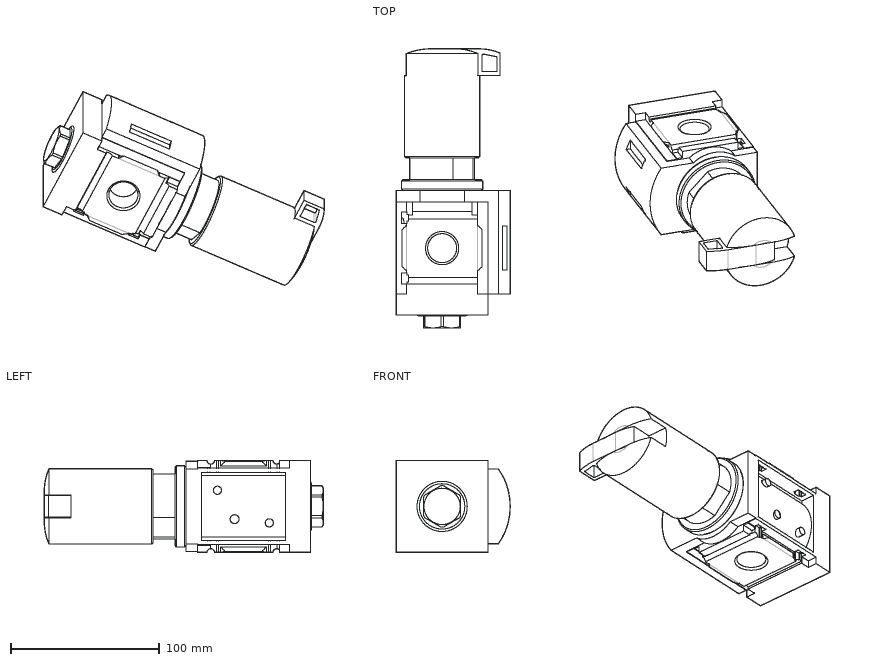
import cadquery as cq
import math


BLOCK_WIDTH = 62.0
HALF = BLOCK_WIDTH / 2
END_CAP_Y = -45.2
WEB_Z = 25.75
PAD_HALF_X = 24.0

PLATE_Y = 38.9
PLATE_Z = 25.3
CROWN_HALF_X = 15.0
CROWN_Z = 30.6
COVER_EDGE_X = 38.0
COVER_X = 46.0
COVER_STEP_X = 40.7
COVER_STEP_Z = 14.3
COVER_STEP_LENGTH = 29.8

PORT_DIAMETER = 19.6
PORT_RIM_DIAMETER = 22.4
PORT_DEPTH = 18.0
GROOVE_Y = 22.1
GROOVE_HALF_WIDTH = 2.5
GROOVE_DEPTH = 2.4
LOWER_GROOVE_Y = -22.4
LOWER_GROOVE_END_Y = -24.2
RELIEF_X = 20.0
RELIEF_Y = 22.4
RELIEF_Z = 26.3
LIP_REACH = 3.0
LIP_HALF_LENGTH = 12.4
LIP_ROOT_Z = 27.4
LIP_EDGE_Z = 30.3

OPENING_Y = 20.5
OPENING_WIDTH = 7.6
OPENING_X = (-27.4, -23.7)
NOTCH_WIDTH = 4.5
NOTCH_X = -22.7

WINDOW_HALF_Y = 28.3
WINDOW_HALF_Z = 23.0
WINDOW_FLOOR_X = -20.5
CORE_RADIUS = 29.2
PIN_DIAMETER = 5.5
PIN_END_X = -30.3
PIN_CENTERS = [(17.6, 10.9), (-17.4, -11.1)]
SHORT_PIN_DIAMETER = 6.0
SHORT_PIN_END_X = -28.8
SHORT_PIN_CENTERS = [(6.0, -8.6)]

SEAT_DIAMETER = 33.9
SEAT_TOP_DIAMETER = 30.6
SEAT_HEIGHT = 0.7
HEX_FLATS = 25.0
HEX_CORNER_DIAMETER = 27.9
HEX_FACE_DIAMETER = 24.5
HEX_CHAMFER_ANGLE = 30.0
HEX_CHAMFER_RADIAL = (HEX_CORNER_DIAMETER - HEX_FACE_DIAMETER) / 2
HEX_CHAMFER_AXIAL = HEX_CHAMFER_RADIAL * math.tan(math.radians(HEX_CHAMFER_ANGLE))
PLUG_Y = -53.95

COLLAR_RADIUS = 55.0 / 2
COLLAR_Y = 46.2
NECK_RADIUS = 22.0
NECK_FLAT_ANGLE = 45.0
NECK_FLAT = 19.9
KNOB_RADIUS = 51.0 / 2
KNOB_BOTTOM_Y = 60.9
KNOB_EDGE_Y = 131.2
KNOB_TOP_Y = 134.55
EDGE_CHAMFER = 1.0
DOME_FLAT_RADIUS = 10.0
DOME_FALL = KNOB_TOP_Y - KNOB_EDGE_Y
DOME_BORDER = KNOB_RADIUS - DOME_FLAT_RADIUS
DOME_MIDDLE = DOME_FLAT_RADIUS + DOME_BORDER / 2
DOME_ARC_RADIUS = (DOME_BORDER**2 + DOME_FALL**2) / (2 * DOME_FALL)

SLOT_WIDTH = 15.1
SLIDE_WIDTH = 14.9
SLOT_FLOOR_Y = 116.4
SLIDE_HALF_LENGTH = 24.4
SLIDE_TRAVEL = 14.7
EYE_NEAR_X = 27.0
EYE_FAR_X = 36.9
EYE_BOTTOM_Y = 119.3
EYE_WALL = 3.5
EYE_CORNER = 1.0


def box(x, y, z):
    """Box between the (low, high) limits on each axis."""
    return cq.Workplane("XY").box(
        x[1] - x[0], y[1] - y[0], z[1] - z[0], centered=False
    ).translate((x[0], y[0], z[0]))


def round_bar(radius, y_low, y_high):
    """Cylinder on the valve axis."""
    return cq.Workplane("XZ", origin=(0, y_high, 0)).circle(radius).extrude(y_high - y_low)


def with_mirror(shape, plane):
    """The shape joined with its mirror image."""
    return shape.union(shape.mirror(plane))


def dome_y(x):
    """Height of the knob dome at distance x from the axis, on its rounded border."""
    return KNOB_TOP_Y - DOME_ARC_RADIUS + math.sqrt(DOME_ARC_RADIUS**2 - (x - DOME_FLAT_RADIUS)**2)



def plate_and_cover():
    """Top plate with its crowned middle, joined to the rounded cover on the +X side."""
    plate = box((-HALF, HALF), (HALF, PLATE_Y), (-PLATE_Z, PLATE_Z))
    crown = (
        cq.Workplane("XZ", origin=(0, PLATE_Y, 0))
        .moveTo(-CROWN_HALF_X, -PLATE_Z)
        .lineTo(-CROWN_HALF_X, PLATE_Z)
        .threePointArc((0, CROWN_Z), (CROWN_HALF_X, PLATE_Z))
        .lineTo(CROWN_HALF_X, -PLATE_Z)
        .threePointArc((0, -CROWN_Z), (-CROWN_HALF_X, -PLATE_Z))
        .close()
        .extrude(PLATE_Y - HALF)
    )
    cover = (
        cq.Workplane("XZ", origin=(0, PLATE_Y, 0))
        .moveTo(HALF, -PLATE_Z)
        .lineTo(COVER_EDGE_X, -PLATE_Z)
        .threePointArc((COVER_X, 0), (COVER_EDGE_X, PLATE_Z))
        .lineTo(HALF, PLATE_Z)
        .close()
        .extrude(PLATE_Y + HALF)
    )
    step = box(
        (COVER_STEP_X, COVER_X),
        (-COVER_STEP_LENGTH / 2, COVER_STEP_LENGTH / 2),
        (COVER_STEP_Z, PLATE_Z),
    )
    return plate.union(crown).union(cover).cut(step).cut(step.mirror("XY"))


def groove(center_y, end_y):
    """Rounded groove across the upper port pad, closed by a wall at end_y."""
    cutter = (
        cq.Workplane("YZ", origin=(-PAD_HALF_X, 0, 0))
        .moveTo(center_y - GROOVE_HALF_WIDTH, HALF)
        .threePointArc((center_y, HALF - GROOVE_DEPTH), (center_y + GROOVE_HALF_WIDTH, HALF))
        .close()
        .extrude(2 * PAD_HALF_X)
    )
    return cutter.intersect(box((-HALF, HALF), (end_y, HALF), (0, HALF)))


def port_cutter():
    """Blind port with a chamfered rim in the upper port pad."""
    rim = (PORT_RIM_DIAMETER - PORT_DIAMETER) / 2
    radius = PORT_DIAMETER / 2
    return (
        cq.Workplane("XZ")
        .polyline([
            (0, HALF - PORT_DEPTH),
            (radius, HALF - PORT_DEPTH),
            (radius, HALF - rim),
            (radius + rim, HALF),
            (0, HALF),
        ])
        .close()
        .revolve(360, (0, 0, 0), (0, 1, 0))
    )


def clamp_opening(center_y):
    """T-shaped opening through the upper web and the edge of the port pad."""
    z = (WINDOW_HALF_Z, HALF)
    wide = box(OPENING_X, (center_y - OPENING_WIDTH / 2, center_y + OPENING_WIDTH / 2), z)
    notch = box(
        (OPENING_X[0], NOTCH_X),
        (center_y - NOTCH_WIDTH / 2, center_y + NOTCH_WIDTH / 2),
        z,
    )
    return wide.union(notch)


def lip():
    """Undercut lip on the -X edge of the upper port pad."""
    edge_x = -PAD_HALF_X - LIP_REACH
    section = (
        cq.Workplane("XZ", origin=(0, HALF, 0))
        .polyline([(-PAD_HALF_X, HALF), (edge_x, LIP_EDGE_Z), (-PAD_HALF_X, LIP_ROOT_Z)])
        .close()
        .extrude(BLOCK_WIDTH)
    )
    root_half_length = LIP_HALF_LENGTH + LIP_REACH
    outline = (
        cq.Workplane("XY")
        .polyline([
            (-PAD_HALF_X, -root_half_length),
            (edge_x, -LIP_HALF_LENGTH),
            (edge_x, LIP_HALF_LENGTH),
            (-PAD_HALF_X, root_half_length),
        ])
        .close()
        .extrude(HALF)
    )
    return section.intersect(outline)


def block():
    """Square block with the same port pad on its +Z and -Z sides."""
    body = box((-HALF, HALF), (END_CAP_Y, HALF), (-HALF, HALF))
    corner = box((PAD_HALF_X, HALF), (-HALF, HALF), (WEB_Z, HALF))
    relief = box((RELIEF_X, PAD_HALF_X), (RELIEF_Y, HALF), (RELIEF_Z, HALF))
    cuts = [
        with_mirror(corner, "YZ"),
        with_mirror(relief, "YZ"),
        groove(GROOVE_Y, 0),
        groove(LOWER_GROOVE_Y, LOWER_GROOVE_END_Y),
        port_cutter(),
    ]
    for cutter in cuts:
        body = body.cut(cutter).cut(cutter.mirror("XY"))
    lips = with_mirror(with_mirror(lip(), "YZ"), "XY")
    return body.union(lips)


def core_pins(centers, diameter, end_x):
    """Pins that stand out of the round core towards -X."""
    return (
        cq.Workplane("YZ", origin=(end_x, 0, 0))
        .pushPoints(centers)
        .circle(diameter / 2)
        .extrude(WINDOW_FLOOR_X - end_x)
    )


def window_pocket():
    """Side window: a pocket around the exposed round core and its pins."""
    pocket = box(
        (-HALF, WINDOW_FLOOR_X),
        (-WINDOW_HALF_Y, WINDOW_HALF_Y),
        (-WINDOW_HALF_Z, WINDOW_HALF_Z),
    )
    pocket = pocket.cut(round_bar(CORE_RADIUS, -WINDOW_HALF_Y, WINDOW_HALF_Y))
    pocket = pocket.cut(core_pins(PIN_CENTERS, PIN_DIAMETER, PIN_END_X))
    return pocket.cut(core_pins(SHORT_PIN_CENTERS, SHORT_PIN_DIAMETER, SHORT_PIN_END_X))


def plug():
    """Hexagon plug with its conical seat on the end cap."""
    seat = (
        cq.Workplane("XZ", origin=(0, END_CAP_Y, 0))
        .circle(SEAT_DIAMETER / 2)
        .workplane(offset=SEAT_HEIGHT)
        .circle(SEAT_TOP_DIAMETER / 2)
        .loft()
    )
    height = END_CAP_Y - PLUG_Y
    hexagon = (
        cq.Workplane("XZ", origin=(0, END_CAP_Y, 0))
        .polygon(6, HEX_FLATS, circumscribed=True)
        .extrude(height)
    )
    envelope = round_bar(HEX_CORNER_DIAMETER / 2, PLUG_Y, END_CAP_Y).faces("<Y").chamfer(
        HEX_CHAMFER_AXIAL, HEX_CHAMFER_RADIAL
    )
    return seat.union(hexagon.intersect(envelope))


def collar_and_neck():
    """Round collar and the neck with two wrench flats."""
    collar = round_bar(COLLAR_RADIUS, PLATE_Y, COLLAR_Y).edges().chamfer(EDGE_CHAMFER)
    neck = round_bar(NECK_RADIUS, COLLAR_Y, KNOB_BOTTOM_Y)
    between_flats = (
        cq.Workplane("XZ", origin=(0, KNOB_BOTTOM_Y, 0))
        .transformed(rotate=(0, 0, NECK_FLAT_ANGLE))
        .rect(2 * NECK_FLAT, 2 * NECK_RADIUS)
        .extrude(KNOB_BOTTOM_Y - COLLAR_Y)
    )
    return collar.union(neck.intersect(between_flats))


def knob():
    """Round knob with a domed end and a slot for the locking slide."""
    turned = (
        cq.Workplane("XY")
        .moveTo(0, KNOB_BOTTOM_Y)
        .lineTo(KNOB_RADIUS - EDGE_CHAMFER, KNOB_BOTTOM_Y)
        .lineTo(KNOB_RADIUS, KNOB_BOTTOM_Y + EDGE_CHAMFER)
        .lineTo(KNOB_RADIUS, KNOB_EDGE_Y)
        .threePointArc((DOME_MIDDLE, dome_y(DOME_MIDDLE)), (DOME_FLAT_RADIUS, KNOB_TOP_Y))
        .lineTo(0, KNOB_TOP_Y)
        .close()
        .revolve(360, (0, 0, 0), (0, 1, 0))
    )
    slot = box(
        (-KNOB_RADIUS, KNOB_RADIUS),
        (SLOT_FLOOR_Y, KNOB_TOP_Y),
        (-SLOT_WIDTH / 2, SLOT_WIDTH / 2),
    )
    return turned.cut(slot)


def make_housing():
    """The whole valve except the locking slide."""
    body = block().union(plate_and_cover()).cut(window_pocket())
    for y in (-OPENING_Y, OPENING_Y):
        opening = clamp_opening(y)
        body = body.cut(opening).cut(opening.mirror("XY"))
    return body.union(plug()).union(collar_and_neck()).union(knob())



def make_slide():
    """Slide with a padlock eye; its top follows the dome when it is pushed in."""
    end_y = dome_y(SLIDE_HALF_LENGTH)
    blank = (
        cq.Workplane("XY", origin=(SLIDE_TRAVEL, 0, -SLIDE_WIDTH / 2))
        .moveTo(-SLIDE_HALF_LENGTH, SLOT_FLOOR_Y)
        .lineTo(SLIDE_HALF_LENGTH, SLOT_FLOOR_Y)
        .lineTo(SLIDE_HALF_LENGTH, end_y)
        .threePointArc((DOME_MIDDLE, dome_y(DOME_MIDDLE)), (DOME_FLAT_RADIUS, KNOB_TOP_Y))
        .lineTo(-DOME_FLAT_RADIUS, KNOB_TOP_Y)
        .threePointArc((-DOME_MIDDLE, dome_y(DOME_MIDDLE)), (-SLIDE_HALF_LENGTH, end_y))
        .close()
        .extrude(SLIDE_WIDTH)
    )
    eye = (
        cq.Workplane("XY", origin=(0, 0, -SLIDE_WIDTH / 2))
        .moveTo(EYE_NEAR_X, EYE_BOTTOM_Y)
        .lineTo(EYE_FAR_X, EYE_BOTTOM_Y)
        .lineTo(EYE_FAR_X, dome_y(EYE_FAR_X - SLIDE_TRAVEL) - EYE_WALL)
        .lineTo(EYE_NEAR_X, dome_y(EYE_NEAR_X - SLIDE_TRAVEL) - EYE_WALL)
        .close()
        .extrude(SLIDE_WIDTH)
        .edges("|Z and <X and >Y")
        .fillet(EYE_CORNER)
    )
    return blank.cut(eye)


housing = make_housing()
slide = make_slide()
result = cq.Compound.makeCompound([housing.val(), slide.val()])